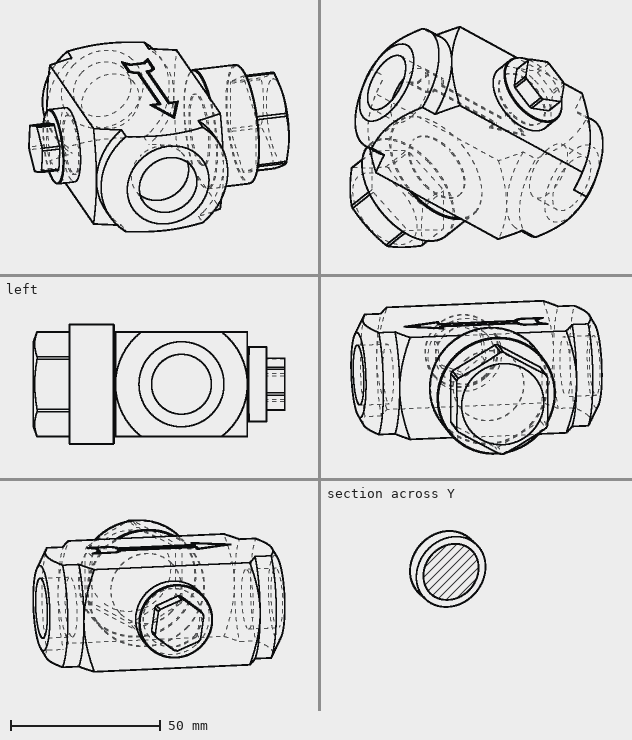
import cadquery as cq
import math

body_length = 80.0
body_width = 44.0
body_height = 35.0
end_round_radius = body_width / 2
end_cone_length = 4.5
end_band_inner_x = 30.0
corner_clearance = 1.0
cone_slope = math.tan(math.radians(60))

port_diameter = 20.0
port_depth = 10.0

neck_length = 0.5
cap_neck_diameter = 24.0
cap_collar_diameter = 40.0
cap_collar_length = 15.0
cap_chamfer = 0.3
cap_hex_length = 12.0
cap_hex_flats = 30.8
cap_hex_corner_diameter = 35.0
cap_hex_turn = 90.0
cap_hex_cone_angle = 20.0
cap_hex_cone_length = 1.3
plug_neck_diameter = 20.0
plug_collar_diameter = 25.0
plug_collar_length = 6.0
plug_chamfer = 0.25
plug_hex_length = 6.0
plug_hex_flats = 15.6
plug_hex_corner_diameter = 17.5
plug_hex_turn = 22.0

arrow_axis_y = 6.3
arrow_tip_x = 25.7
arrow_head_x = 13.3
arrow_head_half_width = 4.8
arrow_shaft_half_width = 1.85
arrow_tail_front_x = -12.5
arrow_tail_half_width = 4.5
arrow_tail_corner = 1.7
arrow_tail_back_x = -22.3
arrow_notch_x = -19.7
arrow_notch_half_width = 2.3
arrow_groove_width = 0.5
arrow_groove_depth = 0.1


def make_body():
    """Block trimmed by a turned profile that leaves a round, coned boss at each end."""
    half_length = body_length / 2
    face_radius = end_round_radius - end_cone_length * cone_slope
    clear_radius = math.hypot(body_width, body_height) / 2 + corner_clearance
    clear_x = end_band_inner_x - (clear_radius - end_round_radius) / cone_slope
    half_profile = [
        (half_length, face_radius),
        (half_length - end_cone_length, end_round_radius),
        (end_band_inner_x, end_round_radius),
        (clear_x, clear_radius),
    ]
    mirrored = [(-x, radius) for x, radius in reversed(half_profile)]
    profile = [(half_length, 0)] + half_profile + mirrored + [(-half_length, 0)]
    envelope = cq.Workplane("XY").polyline(profile).close().revolve(360, (0, 0, 0), (1, 0, 0))
    block = cq.Workplane("XY").box(body_length, body_width, body_height)
    return block.intersect(envelope)


def cut_ports(body):
    """Blind round port in each end face."""
    for side in (">X", "<X"):
        body = body.faces(side).workplane(centerOption="CenterOfBoundBox").hole(port_diameter, port_depth)
    return body


def cylinder_along(start_y, direction, diameter, length):
    """Cylinder on the Y axis growing from start_y towards direction (+1 or -1)."""
    base = cq.Vector(0, start_y, 0)
    axis = cq.Vector(0, direction, 0)
    return cq.Workplane(cq.Solid.makeCylinder(diameter / 2, length, base, axis))


def make_hex(start_y, direction, flats, corner_diameter, length, turn):
    """Hexagon along Y with its corners rounded off on a cylinder; turn is measured from +X."""
    across_corners = flats / math.cos(math.radians(30))
    prism = (
        cq.Workplane("XZ", origin=(0, start_y, 0))
        .transformed(rotate=(0, 0, turn))
        .polygon(6, across_corners)
        .extrude(-direction * length)
    )
    return prism.intersect(cylinder_along(start_y, direction, corner_diameter, length))


def make_cap():
    """Large cap on the +Y side: neck, chamfered collar and hexagon with a coned end."""
    neck_y = body_width / 2
    collar_y = neck_y + neck_length
    hex_y = collar_y + cap_collar_length
    end_y = hex_y + cap_hex_length
    neck = cylinder_along(neck_y, 1, cap_neck_diameter, neck_length)
    collar = cylinder_along(collar_y, 1, cap_collar_diameter, cap_collar_length)
    collar = collar.faces("<Y or >Y").chamfer(cap_chamfer)
    hexagon = make_hex(
        hex_y, 1, cap_hex_flats, cap_hex_corner_diameter, cap_hex_length, cap_hex_turn
    )
    corner_radius = cap_hex_corner_diameter / 2
    end_radius = corner_radius - cap_hex_cone_length / math.tan(math.radians(cap_hex_cone_angle))
    coned_end = (
        cq.Workplane("XY")
        .polyline([
            (0, hex_y),
            (corner_radius, hex_y),
            (corner_radius, end_y - cap_hex_cone_length),
            (end_radius, end_y),
            (0, end_y),
        ])
        .close()
        .revolve(360, (0, 0, 0), (0, 1, 0))
    )
    return neck.union(collar).union(hexagon.intersect(coned_end))


def make_plug():
    """Small plug on the -Y side: neck, collar chamfered on its outer rim and plain hexagon."""
    neck_y = -body_width / 2
    collar_y = neck_y - neck_length
    hex_y = collar_y - plug_collar_length
    neck = cylinder_along(neck_y, -1, plug_neck_diameter, neck_length)
    collar = cylinder_along(collar_y, -1, plug_collar_diameter, plug_collar_length)
    collar = collar.faces("<Y").chamfer(plug_chamfer)
    hexagon = make_hex(
        hex_y, -1, plug_hex_flats, plug_hex_corner_diameter, plug_hex_length, plug_hex_turn
    )
    return neck.union(collar).union(hexagon)


def arrow_outline():
    """Closed outline of the arrow, pointing to +X, on the floor of its groove."""
    upper_half = [
        (arrow_head_x, arrow_head_half_width),
        (arrow_head_x, arrow_shaft_half_width),
        (arrow_tail_front_x, arrow_shaft_half_width),
        (arrow_tail_front_x, arrow_tail_half_width - arrow_tail_corner),
        (arrow_tail_front_x - arrow_tail_corner, arrow_tail_half_width),
        (arrow_tail_back_x, arrow_tail_half_width),
        (arrow_notch_x, arrow_notch_half_width),
    ]
    lower_half = [(x, -y) for x, y in reversed(upper_half)]
    floor_z = body_height / 2 - arrow_groove_depth
    floor = cq.Workplane("XY", origin=(0, arrow_axis_y, floor_z))
    return floor.polyline([(arrow_tip_x, 0)] + upper_half + lower_half).close()


def make_arrow_groove():
    """Ring of material that follows the inside of the arrow outline."""
    outer = arrow_outline().extrude(arrow_groove_depth)
    inner = arrow_outline().offset2D(-arrow_groove_width, "intersection").extrude(arrow_groove_depth)
    return outer.cut(inner)


body = cut_ports(make_body())
result = body.union(make_cap()).union(make_plug()).cut(make_arrow_groove())